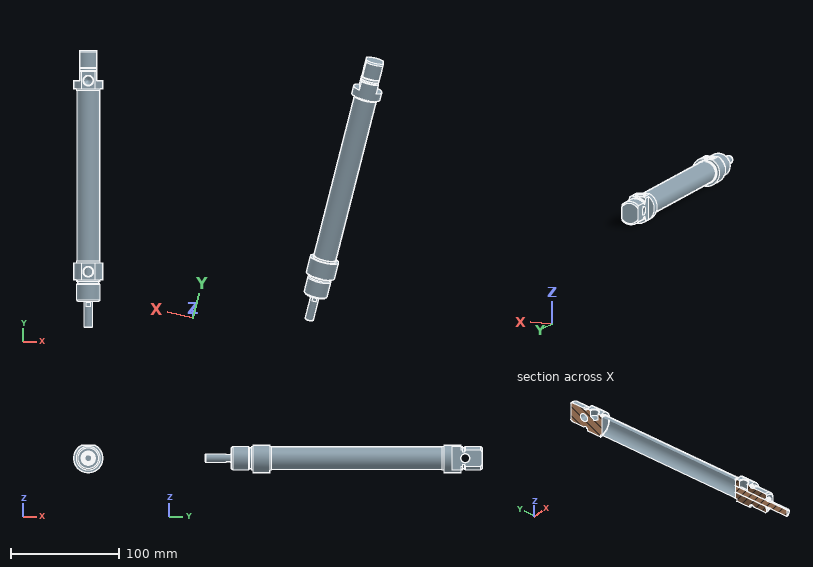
import cadquery as cq
rod_tip_y = 0.0
nose_y = 24.0
front_head_y = 44.0
head_length = 15.8
rear_end_y = 256.0
rear_head_y = 220.5
shoulder_length = 1.6

rod_diameter = 8.0
rod_tip_diameter = 6.4
rod_tip_chamfer_length = 0.6
wrench_flat_width = 7.0
wrench_flat_start_y = 19.3
wrench_flat_length = 4.0

tube_diameter = 21.27
tube_bore = 20.0
front_tube_y = front_head_y + head_length + shoulder_length
rear_tube_y = rear_head_y - shoulder_length

head_diameter = 27.0
head_flat_z = 12.0
shoulder_diameter = 22.0
thread_diameter = 22.0
relief_diameter = 19.7
relief_length = 2.9
relief_chamfer = 1.0
relief_gap = 1.2
end_chamfer = 1.5

port_diameter = 8.57
front_port_y = 51.6
rear_port_y = 228.1
port_mouth_diameter = 9.8
port_mouth_depth = (port_mouth_diameter - port_diameter) / 2
front_port_bottom_z = 0.0
rear_port_bottom_z = 5.0
drill_point_depth = 2.5

seat_mouth_diameter = 13.1
seat_diameter = 12.1
seat_mouth_depth = (seat_mouth_diameter - seat_diameter) / 2
lead_in_diameter = 10.3
rod_clearance_diameter = 9.1
lead_in_depth = (lead_in_diameter - rod_clearance_diameter) / 2
rod_clearance_depth = 1.5

tang_width = 16.0
tang_length = 28.0
pivot_diameter = 8.0
pivot_offset = 15.8


def revolve_about_y(points):
    """Turn a closed (radius, y) outline about the Y axis."""
    return cq.Workplane("XY").polyline(points).close().revolve(360, (0, 0, 0), (0, 1, 0))


def cylinder_y(diameter, start_y, end_y):
    radius = diameter / 2
    return revolve_about_y([(0, start_y), (radius, start_y), (radius, end_y), (0, end_y)])


def cap_blank(end_y, inward, head_outer_y):
    """Threaded end, relief groove, flatted head and tube shoulder; inward is +1 or -1 along Y."""
    thread_radius = thread_diameter / 2
    relief_radius = relief_diameter / 2
    shoulder_radius = shoulder_diameter / 2
    head_inner_y = head_outer_y + inward * head_length
    relief_inner_y = head_outer_y - inward * relief_gap
    relief_outer_y = relief_inner_y - inward * relief_length
    inner_y = head_inner_y + inward * shoulder_length
    body = revolve_about_y([
        (0, end_y),
        (thread_radius - end_chamfer, end_y),
        (thread_radius, end_y + inward * end_chamfer),
        (thread_radius, relief_outer_y),
        (relief_radius, relief_outer_y + inward * relief_chamfer),
        (relief_radius, relief_inner_y),
        (shoulder_radius, relief_inner_y),
        (shoulder_radius, inner_y),
        (0, inner_y),
    ])
    head = cylinder_y(head_diameter, head_outer_y, head_inner_y)
    above_flat = cq.Workplane("XY").box(
        head_diameter, 3 * head_length, head_diameter, centered=(True, True, False)
    ).translate((0, (head_outer_y + head_inner_y) / 2, head_flat_z))
    return body.union(head.cut(above_flat))


def port_cutter(center_y, bottom_z, point_depth):
    """Port hole with a chamfered mouth and an optional conical drill point."""
    hole_radius = port_diameter / 2
    outline = [
        (0, head_flat_z),
        (port_mouth_diameter / 2, head_flat_z),
        (hole_radius, head_flat_z - port_mouth_depth),
        (hole_radius, bottom_z),
        (0, bottom_z - point_depth),
    ]
    cutter = cq.Workplane("XZ").polyline(outline).close().revolve(360, (0, 0, 0), (0, 1, 0))
    return cutter.translate((0, center_y, 0))


def make_rod():
    radius = rod_diameter / 2
    rod = revolve_about_y([
        (0, rod_tip_y),
        (rod_tip_diameter / 2, rod_tip_y),
        (radius, rod_tip_y + rod_tip_chamfer_length),
        (radius, front_tube_y),
        (0, front_tube_y),
    ])
    for side in (1, -1):
        flat = cq.Workplane("XY").box(rod_diameter, wrench_flat_length, rod_diameter).translate(
            (0, wrench_flat_start_y + wrench_flat_length / 2, side * (wrench_flat_width + rod_diameter) / 2)
        )
        rod = rod.cut(flat)
    return rod


def make_tube():
    outer = cylinder_y(tube_diameter, front_tube_y, rear_tube_y)
    return outer.cut(cylinder_y(tube_bore, front_tube_y, rear_tube_y))


def make_front_cap():
    cap = cap_blank(nose_y, 1, front_head_y)
    seat = revolve_about_y([
        (0, nose_y),
        (seat_mouth_diameter / 2, nose_y),
        (seat_diameter / 2, nose_y + seat_mouth_depth),
        (lead_in_diameter / 2, nose_y + seat_mouth_depth),
        (rod_clearance_diameter / 2, nose_y + seat_mouth_depth + lead_in_depth),
        (rod_clearance_diameter / 2, nose_y + rod_clearance_depth),
        (0, nose_y + rod_clearance_depth),
    ])
    rod_bore = cylinder_y(rod_diameter, nose_y, front_tube_y)
    port = port_cutter(front_port_y, front_port_bottom_z, 0)
    return cap.cut(seat).cut(rod_bore).cut(port)


def make_rear_cap():
    head_outer_y = rear_head_y + head_length
    cap = cap_blank(rear_end_y, -1, head_outer_y)
    for side in (1, -1):
        cheek = cq.Workplane("XY").box(head_diameter, tang_length, 2 * head_diameter).translate(
            (side * (tang_width + head_diameter) / 2, rear_end_y - tang_length / 2, 0)
        )
        cap = cap.cut(cheek)
    pivot = (
        cq.Workplane("YZ")
        .center(rear_end_y - pivot_offset, 0)
        .circle(pivot_diameter / 2)
        .extrude(tang_width, both=True)
    )
    port = port_cutter(rear_port_y, rear_port_bottom_z, drill_point_depth)
    return cap.cut(pivot).cut(port)


rod = make_rod()
tube = make_tube()
front_cap = make_front_cap()
rear_cap = make_rear_cap()

result = cq.Compound.makeCompound([rod.val(), tube.val(), front_cap.val(), rear_cap.val()])